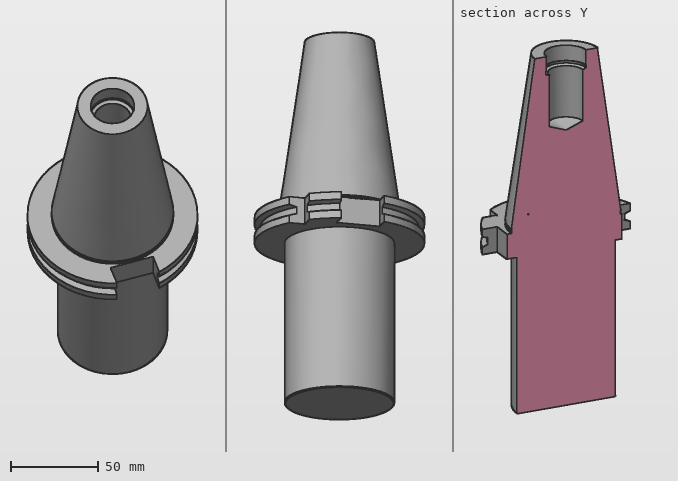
import cadquery as cq
import math

total_height = 216.5
flange_top = 111.8
flange_thickness = 15.5
flange_bottom = flange_top - flange_thickness

nose_radius = 63.0 / 2
nose_chamfer = 0.6

flange_radius = 97.5 / 2
groove_floor_radius = 90.8 / 2
groove_mouth = 6.5
groove_floor_width = 4.0

taper_ratio = 7 / 24
taper_large_radius = 70.0 / 2
neck_radius = 69.3 / 2
neck_step = 0.6
taper_start = flange_top + 2.5
taper_small_radius = taper_large_radius - (total_height - taper_start) * taper_ratio / 2

slot_width = 25.5
left_slot_floor = 37.7
right_slot_floor = 35.5
notch_corner_x = 29.7
notch_corner_y = 29.5

entry_radius = 25.0 / 2
entry_depth = 9.5
relief_radius = 25.5 / 2
relief_length = 1.5
drill_radius = 21.0 / 2
drill_depth = 43.3
countersink_half_angle = 70
drill_point_half_angle = 70


def revolve_profile(points):
    """Revolve a closed (radius, height) outline about the Z axis."""
    return cq.Workplane("XZ").polyline(points).close().revolve(360, (0, 0), (0, 1))


def make_body():
    """Nose, grooved flange, neck and taper as one turned shape."""
    groove_centre = flange_bottom + flange_thickness / 2
    return revolve_profile([
        (0, 0),
        (nose_radius - nose_chamfer, 0),
        (nose_radius, nose_chamfer),
        (nose_radius, flange_bottom),
        (flange_radius, flange_bottom),
        (flange_radius, groove_centre - groove_mouth / 2),
        (groove_floor_radius, groove_centre - groove_floor_width / 2),
        (groove_floor_radius, groove_centre + groove_floor_width / 2),
        (flange_radius, groove_centre + groove_mouth / 2),
        (flange_radius, flange_top),
        (taper_large_radius, flange_top),
        (neck_radius, flange_top + neck_step),
        (neck_radius, taper_start - neck_step),
        (taper_large_radius, taper_start),
        (taper_small_radius, total_height),
        (0, total_height),
    ])


def make_bore():
    """Entry bore, relief groove, countersink and drilled hole with a conical end."""
    relief_top = total_height - entry_depth
    relief_bottom = relief_top - relief_length
    countersink_depth = (relief_radius - drill_radius) / math.tan(math.radians(countersink_half_angle))
    drill_bottom = total_height - drill_depth
    point_depth = drill_radius / math.tan(math.radians(drill_point_half_angle))
    return revolve_profile([
        (0, total_height),
        (entry_radius, total_height),
        (entry_radius, relief_top),
        (relief_radius, relief_top),
        (relief_radius, relief_bottom),
        (drill_radius, relief_bottom - countersink_depth),
        (drill_radius, drill_bottom),
        (0, drill_bottom - point_depth),
    ])


def flange_cut(x_min, x_max, y_min, y_max):
    """Rectangular cutter spanning the full flange thickness."""
    return cq.Workplane("XY").box(
        x_max - x_min, y_max - y_min, flange_thickness, centered=False
    ).translate((x_min, y_min, flange_bottom))


left_slot = flange_cut(-flange_radius, -left_slot_floor, -slot_width / 2, slot_width / 2)
right_slot = flange_cut(right_slot_floor, flange_radius, -slot_width / 2, slot_width / 2)
notch = flange_cut(-flange_radius, -notch_corner_x, notch_corner_y, flange_radius)

result = make_body().cut(make_bore()).cut(left_slot).cut(right_slot).cut(notch)